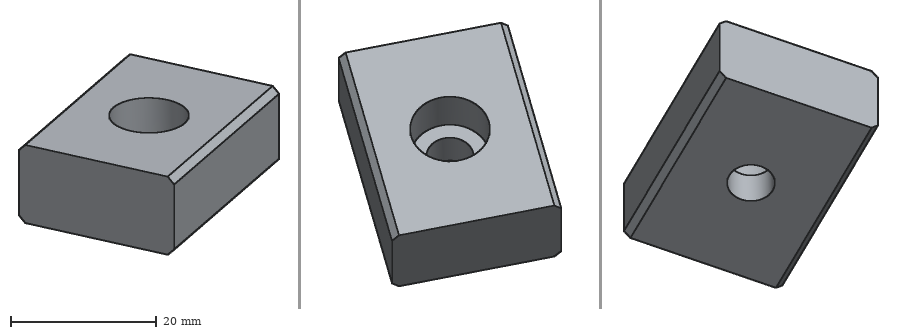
import cadquery as cq

width = 24.0
length = 32.0
height = 12.0
edge_chamfer = 1.0

hole_diameter = 6.6
counterbore_diameter = 11.0
counterbore_depth = 6.6

block = (
    cq.Workplane("XY")
    .box(width, length, height, centered=(True, True, False))
    .edges("|Y")
    .chamfer(edge_chamfer)
)

result = (
    block.faces(">Z")
    .workplane(centerOption="CenterOfBoundBox")
    .cboreHole(hole_diameter, counterbore_diameter, counterbore_depth)
)